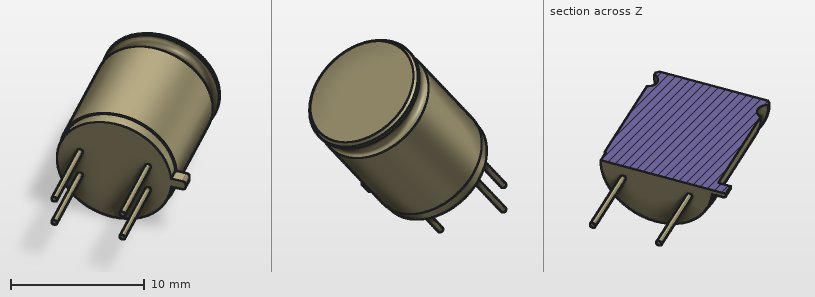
import cadquery as cq

total_length = 17.25
can_diameter = 9.3
base_diameter = 9.09
base_thickness = 1.0
pin_diameter = 0.45
pin_length = 5.99
pin_spacing_x = 5.4
pin_spacing_z = 2.25
rim_chamfer = 0.25
groove_offset = 0.53
groove_width = 1.4
groove_depth = 0.53
tab_reach = 5.65
tab_width = 0.8
tab_fillet = 0.25

base_start = pin_length
can_start = base_start + base_thickness
groove_end = total_length - groove_offset
groove_start = groove_end - groove_width
groove_middle = groove_start + groove_width / 2
can_radius = can_diameter / 2


def make_can():
    """Revolve the can with its rolled groove and chamfered rim about Y."""
    profile = (
        cq.Workplane("XY")
        .moveTo(0, can_start)
        .lineTo(can_radius, can_start)
        .lineTo(can_radius, groove_start)
        .threePointArc((can_radius - groove_depth, groove_middle), (can_radius, groove_end))
        .lineTo(can_radius, total_length)
        .lineTo(0, total_length)
        .close()
    )
    can = profile.revolve(360, (0, 0, 0), (0, 1, 0))
    return can.faces(">Y").edges().chamfer(rim_chamfer)


def plane_at(start):
    """XZ workplane at the given Y; negative extrusions run towards +Y."""
    return cq.Workplane("XZ", origin=(0, start, 0))


def make_base():
    """Base disc with a round-cornered locating tab on the +X side."""
    disc = plane_at(base_start).circle(base_diameter / 2).extrude(-base_thickness)
    tab = (
        plane_at(base_start)
        .center(tab_reach / 2, 0)
        .rect(tab_reach, tab_width)
        .extrude(-base_thickness)
        .edges("|Y and >X")
        .fillet(tab_fillet)
    )
    return disc.union(tab)


def make_pins():
    """Four pins on a rectangular pattern, ending on the base."""
    return (
        plane_at(0)
        .rect(pin_spacing_x, pin_spacing_z, forConstruction=True)
        .vertices()
        .circle(pin_diameter / 2)
        .extrude(-pin_length)
    )


result = make_can().union(make_base()).union(make_pins())